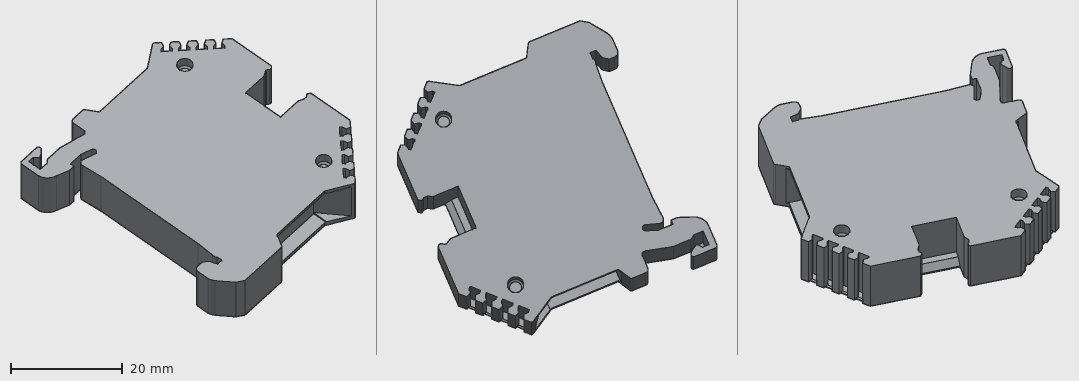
import cadquery as cq


body_height = 10.2
top_y = 46.0
rail_y = 7.2
tip_x = 23.9
flat_top_x = 14.0
tip_y = top_y - (tip_x - flat_top_x)
tip_flat = 0.35
waist_x = 21.05
waist_top_y = 31.0
waist_bottom_y = 18.0
shoulder_x = 23.55
shoulder_y = 16.2
shoulder_slope_x = 23.3
shoulder_slope_y = 16.7
shoulder_mid_x = 23.5
shoulder_mid_y = 16.5

foot_x = -24.2
foot_neck_x = -21.05
foot_slot_y = 3.85
foot_pocket_floor = 0.65

hook_bottom_y = 2.45

notch_half_width = 4.15
notch_y = 40.9
ledge_back_y = 38.4
ledge_edge_y = 39.7
ledge_height = 1.45
ledge_front_height = 0.3
notch_corner = 0.3

groove_count = 4
groove_pitch = 3.15
groove_row_shift = 0.1
groove_depth = 2.0
groove_base_width = 2.0
groove_neck_width = 1.0
groove_mouth_width = 1.7
groove_neck_depth = 0.85
groove_flare_depth = 1.55
groove_floor = 0.35
floor_start_depth = 0.4
floor_slope_end_depth = 0.7
floor_slope_drop = 0.2

entry_floor_x = 18.2
entry_top_y = 35.25
entry_ramp_end_y = 31.3
entry_bottom_y = 17.65
entry_z_low = 0.8
entry_z_high = 9.55
ramp_rim_inset = 0.1
ramp_deep_inset = 0.35

pin_x = 16.45
pin_y = 36.0
pin_length = 2.4
pin_root_radius = 1.45
pin_end_radius = 1.55
pin_end_chamfer = 0.25
socket_radius = 1.45
socket_tip_radius = 1.05
socket_depth = 2.4


def housing():
    outline = (
        cq.Workplane("XY")
        .moveTo(-flat_top_x, top_y)
        .lineTo(-tip_x, tip_y)
        .lineTo(-tip_x, tip_y - tip_flat)
        .lineTo(-waist_x, waist_top_y)
        .lineTo(-waist_x, waist_bottom_y)
        .lineTo(-shoulder_slope_x, shoulder_slope_y)
        .threePointArc((-shoulder_mid_x, shoulder_mid_y), (-shoulder_x, shoulder_y))
        .lineTo(-shoulder_x, 13.75)
        .threePointArc((-23.35, 13.25), (-22.8, 13.05))
        .lineTo(-20.3, 13.05)
        .threePointArc((-19.95, 12.9), (-19.83, 12.45))
        .lineTo(-19.83, 12.15)
        .lineTo(-19.95, 11.6)
        .lineTo(foot_neck_x, 7.3)
        .lineTo(foot_neck_x, foot_slot_y)
        .lineTo(-22.55, foot_slot_y)
        .lineTo(-23.2, 4.7)
        .threePointArc((-23.68, 5.0), (foot_x, 4.7))
        .lineTo(foot_x, 0.55)
        .threePointArc((-24.05, 0.15), (-23.68, 0))
        .lineTo(-19.75, 0)
        .threePointArc((-18.35, 0.63), (-17.35, 2.05))
        .lineTo(-16.4, 4.5)
        .lineTo(-16.4, 5.77)
        .lineTo(-17.25, 5.77)
        .lineTo(-17.25, 8.65)
        .lineTo(-16.5, 10.7)
        .threePointArc((-15.8, 11.05), (-15.4, 10.35))
        .lineTo(-16.2, 7.8)
        .threePointArc((-16.0, 7.15), (-15.4, 6.95))
        .lineTo(-11.3, rail_y)
        .lineTo(11.75, rail_y)
        .lineTo(15.4, 7.0)
        .threePointArc((15.9, 6.95), (16.3, 7.15))
        .lineTo(17.4, 7.15)
        .lineTo(17.4, 6.0)
        .lineTo(16.3, 5.7)
        .threePointArc((15.85, 5.5), (15.4, 4.95))
        .lineTo(15.0, 4.48)
        .lineTo(15.0, 3.45)
        .threePointArc((15.3, 2.75), (15.98, hook_bottom_y))
        .lineTo(18.3, hook_bottom_y)
        .threePointArc((18.8, 2.6), (19.55, 2.95))
        .lineTo(22.55, 5.1)
        .lineTo(shoulder_x, 6.5)
        .lineTo(shoulder_x, shoulder_y)
        .threePointArc((shoulder_mid_x, shoulder_mid_y), (shoulder_slope_x, shoulder_slope_y))
        .lineTo(waist_x, waist_bottom_y)
        .lineTo(waist_x, waist_top_y)
        .lineTo(tip_x, tip_y - tip_flat)
        .lineTo(tip_x, tip_y)
        .lineTo(flat_top_x, top_y)
        .lineTo(4.65, top_y)
        .lineTo(4.25, 45.4)
        .lineTo(4.6, 44.9)
        .lineTo(4.6, 44.17)
        .lineTo(notch_half_width, 43.2)
        .lineTo(notch_half_width, notch_y + notch_corner)
        .lineTo(notch_half_width - notch_corner, notch_y)
        .lineTo(-notch_half_width + notch_corner, notch_y)
        .lineTo(-notch_half_width, notch_y + notch_corner)
        .lineTo(-notch_half_width, 43.4)
        .lineTo(-4.7, 44.4)
        .lineTo(-4.7, 44.75)
        .lineTo(-4.35, 45.25)
        .lineTo(-4.35, 45.7)
        .lineTo(-4.6, top_y)
        .close()
    )
    return outline.extrude(body_height)


def notch_ledge_cut():
    """Space above the bevelled ledge at the bottom of the notch."""
    return (
        cq.Workplane("YZ")
        .moveTo(ledge_back_y, body_height)
        .lineTo(ledge_back_y, ledge_height)
        .lineTo(ledge_edge_y, ledge_height)
        .lineTo(notch_y, ledge_front_height)
        .lineTo(notch_y + notch_corner, ledge_front_height)
        .lineTo(notch_y + notch_corner, body_height)
        .close()
        .extrude(notch_half_width, both=True)
    )


def foot_pocket():
    return (
        cq.Workplane("XY")
        .workplane(offset=foot_pocket_floor)
        .moveTo(foot_neck_x, foot_slot_y)
        .lineTo(-20.5, 3.1)
        .lineTo(-20.5, 1.3)
        .lineTo(-23.2, 1.3)
        .lineTo(-23.2, 2.55)
        .lineTo(-22.35, 3.25)
        .lineTo(-22.55, foot_slot_y)
        .close()
        .extrude(body_height)
    )


def marker_groove():
    """One groove on a left-facing edge at the origin, running inward along +X."""
    half_mouth = groove_mouth_width / 2
    half_neck = groove_neck_width / 2
    half_base = groove_base_width / 2
    opening = (
        cq.Workplane("XY")
        .moveTo(0, half_mouth)
        .lineTo(groove_neck_depth, half_neck)
        .lineTo(groove_flare_depth, half_base)
        .lineTo(groove_depth, half_base)
        .lineTo(groove_depth, -half_base)
        .lineTo(groove_flare_depth, -half_base)
        .lineTo(groove_neck_depth, -half_neck)
        .lineTo(0, -half_mouth)
        .close()
        .extrude(body_height)
    )
    floor = (
        cq.Workplane("XZ")
        .moveTo(floor_start_depth, 0)
        .lineTo(floor_start_depth, groove_floor - floor_slope_drop)
        .lineTo(floor_slope_end_depth, groove_floor)
        .lineTo(groove_depth, groove_floor)
        .lineTo(groove_depth, 0)
        .close()
        .extrude(groove_base_width, both=True)
    )
    return opening.cut(floor)


def marker_grooves():
    """Row of grooves along the left sloped edge."""
    groove = marker_groove()
    row = cq.Workplane("XY")
    for index in range(groove_count):
        offset = (index - (groove_count - 1) / 2) * groove_pitch - groove_row_shift
        row = row.add(groove.translate((0, offset, 0)))
    middle = (-(flat_top_x + tip_x) / 2, (top_y + tip_y) / 2, 0)
    return row.combine().rotate((0, 0, 0), (0, 0, 1), -45).translate(middle)


def wire_entry():
    """Recess in the left side: a flat floor with a ramp up to the rim at its top end."""
    entry_height = entry_z_high - entry_z_low
    rim_slope = (tip_x - waist_x) / (tip_y - tip_flat - waist_top_y)
    rim_x = waist_x + rim_slope * (entry_top_y - waist_top_y)
    flat_part = (
        cq.Workplane("XY")
        .box(
            shoulder_x - entry_floor_x,
            entry_ramp_end_y - entry_bottom_y,
            entry_height,
            centered=False,
        )
        .translate((-shoulder_x, entry_bottom_y, entry_z_low))
    )
    ramp = (
        cq.Workplane("XY")
        .workplane(offset=entry_z_low)
        .moveTo(-rim_x, entry_top_y)
        .lineTo(-entry_floor_x, entry_ramp_end_y)
        .lineTo(-tip_x, entry_ramp_end_y)
        .lineTo(-tip_x, entry_top_y)
        .close()
        .extrude(entry_height)
    )
    ramp_walls = (
        cq.Workplane("XZ", origin=(0, entry_ramp_end_y, 0))
        .moveTo(-tip_x, entry_z_low + ramp_rim_inset)
        .lineTo(-rim_x, entry_z_low + ramp_rim_inset)
        .lineTo(-entry_floor_x, entry_z_low + ramp_deep_inset)
        .lineTo(-entry_floor_x, entry_z_high - ramp_deep_inset)
        .lineTo(-rim_x, entry_z_high - ramp_rim_inset)
        .lineTo(-tip_x, entry_z_high - ramp_rim_inset)
        .close()
        .extrude(entry_ramp_end_y - entry_top_y)
    )
    return flat_part.union(ramp.intersect(ramp_walls))


def pin(x):
    """Pin that flares slightly towards a chamfered end."""
    return (
        cq.Workplane("XZ")
        .lineTo(pin_root_radius, 0)
        .lineTo(pin_end_radius, -pin_length + pin_end_chamfer)
        .lineTo(pin_end_radius - pin_end_chamfer, -pin_length)
        .lineTo(0, -pin_length)
        .close()
        .revolve(360, (0, 0, 0), (0, 1, 0))
        .translate((x, pin_y, 0))
    )


def socket(x):
    hole = (
        cq.Workplane("XY")
        .workplane(offset=body_height - socket_depth)
        .center(x, pin_y)
        .circle(socket_radius)
        .extrude(socket_depth)
    )
    return hole.faces("<Z").chamfer(socket_radius - socket_tip_radius)


result = housing().cut(notch_ledge_cut()).cut(foot_pocket())
for side_cut in (marker_grooves(), wire_entry()):
    result = result.cut(side_cut).cut(side_cut.mirror("YZ"))
for x in (-pin_x, pin_x):
    result = result.cut(socket(x)).union(pin(x))